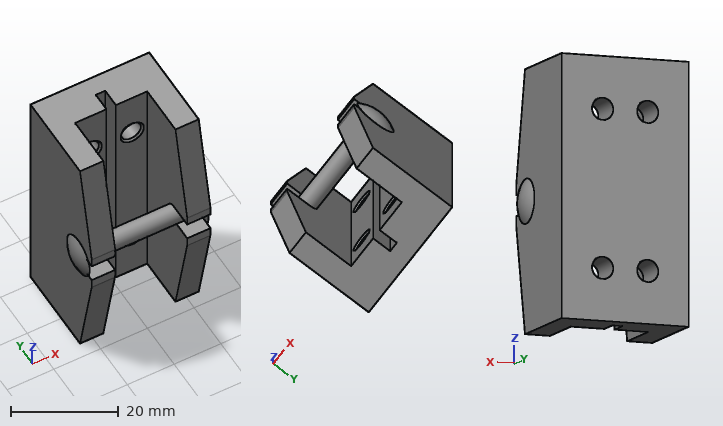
import cadquery as cq

HEIGHT = 50.0
DEPTH = 23.0
WALL = 5.0
CHANNEL_WIDTH = 15.4
WIDTH = CHANNEL_WIDTH + 2 * WALL
WEB = 8.0
END_DEPTH = 18.6
NOSE_HEIGHT = 8.0

GROOVE_WIDTH = 2.0
GROOVE_DEPTH = 4.0

HOLE_SPACING_X = 9.0
HOLE_SPACING_Z = 30.0
HOLE_DIAMETER = 4.2
HOLE_CHAMFER = 0.4

PIN_DIAMETER = 4.0
PIN_SETBACK = 5.0
HEAD_DIAMETER = 8.5
PIN_LENGTH = 27.85
HEAD_HEIGHT = (PIN_LENGTH - WIDTH) / 2

FRONT_Y = 0.0
BACK_Y = FRONT_Y + DEPTH
WEB_FRONT_Y = BACK_Y - WEB
PIN_Y = FRONT_Y + PIN_SETBACK


def make_block():
    """Bracket block: its side outline in the YZ plane, extruded across the full width."""
    end_y = BACK_Y - END_DEPTH
    return (
        cq.Workplane("YZ")
        .polyline([
            (BACK_Y, -HEIGHT / 2),
            (BACK_Y, HEIGHT / 2),
            (end_y, HEIGHT / 2),
            (FRONT_Y, NOSE_HEIGHT / 2),
            (FRONT_Y, -NOSE_HEIGHT / 2),
            (end_y, -HEIGHT / 2),
        ])
        .close()
        .extrude(WIDTH / 2, both=True)
    )


def make_upright_cut(width, start_y, end_y):
    """Full-height rectangular cutter, centred on X."""
    return cq.Workplane("XY").box(
        width, end_y - start_y, HEIGHT, centered=(True, False, True)
    ).translate((0, start_y, 0))


def make_pin_slot():
    """Round-ended slot through both side walls, open at the front."""
    radius = PIN_DIAMETER / 2
    return (
        cq.Workplane("YZ")
        .moveTo(FRONT_Y, -radius)
        .lineTo(PIN_Y, -radius)
        .threePointArc((PIN_Y + radius, 0), (PIN_Y, radius))
        .lineTo(FRONT_Y, radius)
        .close()
        .extrude(WIDTH / 2, both=True)
    )


def make_mounting_hole(x, z):
    """Hole through the web, chamfered at the channel side; revolved about its own axis."""
    radius = HOLE_DIAMETER / 2
    return (
        cq.Workplane("XY")
        .polyline([
            (0, WEB_FRONT_Y),
            (radius + HOLE_CHAMFER, WEB_FRONT_Y),
            (radius, WEB_FRONT_Y + HOLE_CHAMFER),
            (radius, BACK_Y),
            (0, BACK_Y),
        ])
        .close()
        .revolve(360, (0, 0, 0), (0, 1, 0))
        .translate((x, 0, z))
    )


def make_bracket():
    bracket = make_block()
    bracket = bracket.cut(make_upright_cut(CHANNEL_WIDTH, FRONT_Y, WEB_FRONT_Y))
    bracket = bracket.cut(make_upright_cut(GROOVE_WIDTH, WEB_FRONT_Y, WEB_FRONT_Y + GROOVE_DEPTH))
    bracket = bracket.cut(make_pin_slot())
    for x in (-HOLE_SPACING_X / 2, HOLE_SPACING_X / 2):
        for z in (-HOLE_SPACING_Z / 2, HOLE_SPACING_Z / 2):
            bracket = bracket.cut(make_mounting_hole(x, z))
    return bracket


def make_pin():
    """Shaft and both heads as one half-section, revolved about the pin axis along X."""
    face_x = WIDTH / 2
    tip_x = PIN_LENGTH / 2
    shaft_radius = PIN_DIAMETER / 2
    head_radius = HEAD_DIAMETER / 2
    dome_radius = (head_radius**2 + HEAD_HEIGHT**2) / (2 * HEAD_HEIGHT)
    return (
        cq.Workplane("XY")
        .moveTo(-tip_x, 0)
        .radiusArc((-face_x, head_radius), dome_radius)
        .lineTo(-face_x, shaft_radius)
        .lineTo(face_x, shaft_radius)
        .lineTo(face_x, head_radius)
        .radiusArc((tip_x, 0), dome_radius)
        .close()
        .revolve(360, (0, 0, 0), (1, 0, 0))
        .translate((0, PIN_Y, 0))
    )


bracket = make_bracket()
pin = make_pin()

result = cq.Compound.makeCompound([bracket.val(), pin.val()])